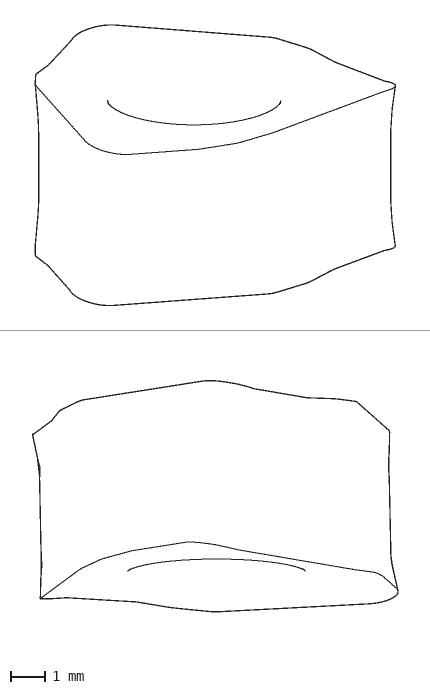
import cadquery as cq
import math


THICKNESS = 5.0
PEAK_HALF = THICKNESS / 2
RIDGE_RISE = 0.22
FACE_HALF = PEAK_HALF - RIDGE_RISE
REPEATS = 3
PITCH = 360 / REPEATS

FLIP_ANGLE = 252.5
WALL_SPREAD = 17.5

WALL_TOP = 4.43
WALL_KINK = 4.53
WALL_FOOT = 4.75
KINK_HEIGHT = 1.35
KINK_TRIM = 0.32

FACET_MIDDLE = 4.53
FACET_END = 4.64

NOSE_RADIUS = 1.03
FACET_RADIUS = 0.9

MOUTH_ROUND = 0.31
BORE_RADIUS = 2.52
BORE_DEPTH = 0.48
CONE_ANGLE = 30
CONE_TOP_ROUND = 0.74
THROAT_RADIUS = 1.66
THROAT_ROUND = 0.37

RIDGE_STATIONS = [
    (-3.12, -2.81, -3.44, -3.37, 0.0),
    (-2.37, -3.17, -2.48, -4.07, RIDGE_RISE / 2),
    (-1.37, -3.44, -1.33, -WALL_TOP, RIDGE_RISE),
    (3.07, -3.44, 3.34, -WALL_TOP, RIDGE_RISE),
    (3.6, -3.2, 4.12, -4.1, RIDGE_RISE / 2),
    (3.85, -2.8, 4.46, -3.42, 0.0),
]
RIDGE_OVERHANG = 1.3
RIDGE_ROOT = 0.32

MIN_CLIMB = 0.05
CORNER_SPAN = 15
REACH = 8.46
BLOCK_MARGIN = 0.21
BLOCK_HALF = PEAK_HALF + BLOCK_MARGIN

FLIP_AXIS = cq.Vector(math.cos(math.radians(FLIP_ANGLE)), math.sin(math.radians(FLIP_ANGLE)), 0)


def turned(shape, angle):
    """Turn about the part's axis."""
    return shape.rotate((0, 0, 0), (0, 0, 1), angle)


def flipped(shape):
    """Turn upside down onto the matching feature of the other face."""
    return shape.rotate((0, 0, 0), FLIP_AXIS.toTuple(), 180)


def make_wall():
    """Block whose +X side is the wall: nearly upright above, flared outwards below."""
    flare = math.atan2(WALL_FOOT - WALL_KINK, FACE_HALF - KINK_HEIGHT)
    lean = math.atan2(WALL_KINK - WALL_TOP, PEAK_HALF + KINK_HEIGHT)
    foot = WALL_KINK + (BLOCK_HALF - KINK_HEIGHT) * math.tan(flare)
    top = WALL_TOP - BLOCK_MARGIN * math.tan(lean)
    flare_x = WALL_KINK + KINK_TRIM * math.sin(flare)
    flare_z = -KINK_HEIGHT - KINK_TRIM * math.cos(flare)
    lean_x = WALL_KINK - KINK_TRIM * math.sin(lean)
    lean_z = -KINK_HEIGHT + KINK_TRIM * math.cos(lean)
    return (
        cq.Workplane("XZ")
        .moveTo(-REACH, -BLOCK_HALF)
        .lineTo(foot, -BLOCK_HALF)
        .lineTo(flare_x, flare_z)
        .tangentArcPoint((lean_x, lean_z), relative=False)
        .lineTo(top, BLOCK_HALF)
        .lineTo(-REACH, BLOCK_HALF)
        .close()
        .extrude(REACH, both=True)
    )


def make_facet():
    """Block whose +X side is the facet: upright in the middle, flared outwards at both ends."""
    flare = math.atan2(FACET_END - FACET_MIDDLE, PEAK_HALF - KINK_HEIGHT)
    end = FACET_MIDDLE + (BLOCK_HALF - KINK_HEIGHT) * math.tan(flare)
    flare_x = FACET_MIDDLE + KINK_TRIM * math.sin(flare)
    flare_z = KINK_HEIGHT + KINK_TRIM * math.cos(flare)
    upright_z = KINK_HEIGHT - KINK_TRIM
    return (
        cq.Workplane("XZ")
        .moveTo(-REACH, -BLOCK_HALF)
        .lineTo(end, -BLOCK_HALF)
        .lineTo(flare_x, -flare_z)
        .tangentArcPoint((FACET_MIDDLE, -upright_z), relative=False)
        .lineTo(FACET_MIDDLE, upright_z)
        .tangentArcPoint((flare_x, flare_z), relative=False)
        .lineTo(end, BLOCK_HALF)
        .lineTo(-REACH, BLOCK_HALF)
        .close()
        .extrude(REACH, both=True)
    )


def upright_edges(body, angle):
    """Edges that climb the body close to a direction seen from the axis."""
    found = []
    for edge in body.edges().vals():
        climb = abs(edge.endPoint().z - edge.startPoint().z)
        middle = edge.Center()
        bearing = math.degrees(math.atan2(middle.y, middle.x))
        offset = (bearing - angle + 180) % 360 - 180
        if climb > MIN_CLIMB and abs(offset) < CORNER_SPAN:
            found.append(edge)
    return found


def make_prism():
    """Full-height body bounded by the six walls and three facets, with rounded corners."""
    wall = make_wall()
    facet = make_facet()
    prism = cq.Workplane("XY").circle(REACH).extrude(BLOCK_HALF, both=True)
    for repeat in range(REPEATS):
        angle = repeat * PITCH
        upright = turned(wall, FLIP_ANGLE + WALL_SPREAD)
        prism = prism.intersect(turned(upright, angle))
        prism = prism.intersect(turned(flipped(upright), angle))
        prism = prism.intersect(turned(facet, FLIP_ANGLE + angle))
    for repeat in range(REPEATS):
        obtuse_angle = FLIP_ANGLE + repeat * PITCH
        nose_angle = obtuse_angle + PITCH / 2
        prism = prism.newObject(upright_edges(prism, nose_angle)).fillet(NOSE_RADIUS)
        prism = prism.newObject(upright_edges(prism, obtuse_angle)).fillet(FACET_RADIUS)
    return prism


def make_ridge():
    """Raised cutting edge: a wedge rising outwards, twisting down to the flat face at both ends."""
    sections = []
    for inner_x, inner_y, outer_x, outer_y, rise in RIDGE_STATIONS:
        far_x = inner_x + RIDGE_OVERHANG * (outer_x - inner_x)
        far_y = inner_y + RIDGE_OVERHANG * (outer_y - inner_y)
        sections.append(cq.Wire.makePolygon([
            cq.Vector(inner_x, inner_y, FACE_HALF - RIDGE_ROOT),
            cq.Vector(far_x, far_y, FACE_HALF - RIDGE_ROOT),
            cq.Vector(far_x, far_y, FACE_HALF + RIDGE_OVERHANG * rise),
            cq.Vector(inner_x, inner_y, FACE_HALF),
        ], close=True))
    return cq.Workplane(cq.Solid.makeLoft(sections, ruled=True))


def make_clearance():
    """Space above the top face: everything over the flat face except the three ridges."""
    flat = cq.Workplane("XY").workplane(offset=FACE_HALF)
    space = flat.circle(REACH).extrude(BLOCK_HALF - FACE_HALF)
    ridge = make_ridge()
    for repeat in range(REPEATS):
        space = space.cut(turned(ridge, repeat * PITCH))
    return space


def make_hole():
    """Through hole, the same from both faces and narrowest in the middle."""
    lean = math.radians(CONE_ANGLE)
    cone_top = BORE_RADIUS - CONE_TOP_ROUND * (1 - math.cos(lean))
    cone_top_z = FACE_HALF - BORE_DEPTH - CONE_TOP_ROUND * math.sin(lean)
    cone_end = THROAT_RADIUS + THROAT_ROUND * (1 - math.cos(lean))
    cone_end_z = cone_top_z - (cone_top - cone_end) / math.tan(lean)
    throat_z = cone_end_z - THROAT_ROUND * math.sin(lean)
    mouth = BORE_RADIUS + MOUTH_ROUND
    half = (
        cq.Workplane("XZ")
        .moveTo(0, 0)
        .lineTo(THROAT_RADIUS, 0)
        .lineTo(THROAT_RADIUS, throat_z)
        .tangentArcPoint((cone_end, cone_end_z), relative=False)
        .lineTo(cone_top, cone_top_z)
        .tangentArcPoint((BORE_RADIUS, FACE_HALF - BORE_DEPTH), relative=False)
        .lineTo(BORE_RADIUS, FACE_HALF - MOUTH_ROUND)
        .tangentArcPoint((mouth, FACE_HALF), relative=False)
        .lineTo(mouth, PEAK_HALF)
        .lineTo(0, PEAK_HALF)
        .close()
        .revolve(360, (0, 0, 0), (0, 1, 0))
    )
    return half.union(half.mirror("XY"))


body = make_prism()
clearance = make_clearance()
result = body.cut(clearance).cut(flipped(clearance)).cut(make_hole())